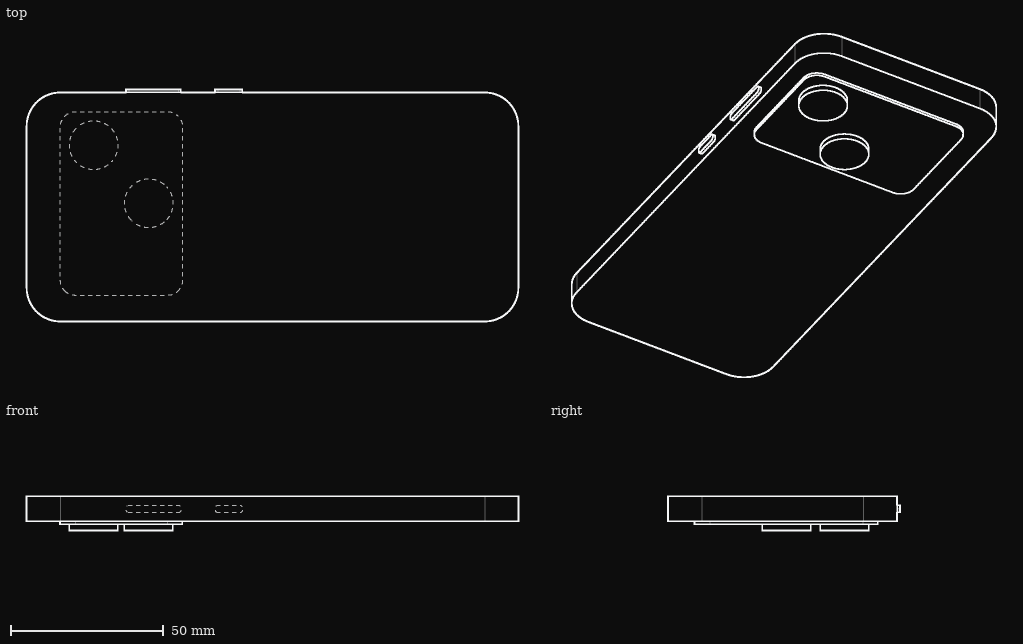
import cadquery as cq

PHONE_LENGTH = 160.9
PHONE_WIDTH = 75.0
PHONE_THICKNESS = 8.2
PHONE_CORNER_RADIUS = 11.1

ISLAND_LENGTH = 40.0
ISLAND_WIDTH = 60.0
ISLAND_HEIGHT = 1.0
ISLAND_CORNER_RADIUS = 5.0
ISLAND_END_INSET = 11.0
ISLAND_SIDE_INSET = 6.3

CAMERA_PROTRUSION = 3.0
LENS_HEIGHT = CAMERA_PROTRUSION - ISLAND_HEIGHT
LENS_DIAMETER = 16.0
LENS_EDGE_INSET = 11.0
LENS_PITCH_X = 18.0
LENS_PITCH_Y = 19.0

BUTTON_HEIGHT = 2.4
BUTTON_PROTRUSION = 1.0
BUTTON_CORNER_RADIUS = 1.0
LONG_BUTTON_LENGTH = 18.0
LONG_BUTTON_START = 32.5
SHORT_BUTTON_LENGTH = 9.0
SHORT_BUTTON_START = 61.6

END_X = -PHONE_LENGTH / 2
SIDE_Y = PHONE_WIDTH / 2

ISLAND_END_X = END_X + ISLAND_END_INSET
ISLAND_SIDE_Y = SIDE_Y - ISLAND_SIDE_INSET

LENS_NEAR_X = ISLAND_END_X + LENS_EDGE_INSET
LENS_FAR_X = LENS_NEAR_X + LENS_PITCH_X
LENS_NEAR_Y = ISLAND_SIDE_Y - LENS_EDGE_INSET
LENS_FAR_Y = LENS_NEAR_Y - LENS_PITCH_Y
LENS_CENTERS = [(LENS_NEAR_X, LENS_NEAR_Y), (LENS_FAR_X, LENS_FAR_Y)]

BUTTONS = [
    (LONG_BUTTON_LENGTH, LONG_BUTTON_START),
    (SHORT_BUTTON_LENGTH, SHORT_BUTTON_START),
]


def rounded_plate(length, width, height, corner_radius):
    """Plate standing on Z = 0 with rounded vertical corners."""
    plate = cq.Workplane("XY").rect(length, width).extrude(height)
    return plate.edges("|Z").fillet(corner_radius)


def make_phone():
    """Slab and camera island as one body."""
    slab = rounded_plate(PHONE_LENGTH, PHONE_WIDTH, PHONE_THICKNESS, PHONE_CORNER_RADIUS)
    island = rounded_plate(ISLAND_LENGTH, ISLAND_WIDTH, ISLAND_HEIGHT, ISLAND_CORNER_RADIUS)
    island_center_x = ISLAND_END_X + ISLAND_LENGTH / 2
    island_center_y = ISLAND_SIDE_Y - ISLAND_WIDTH / 2
    return slab.union(island.translate((island_center_x, island_center_y, -ISLAND_HEIGHT)))


def make_lens(center_x, center_y):
    """Lens disc under the face of the island."""
    lens = cq.Workplane("XY").circle(LENS_DIAMETER / 2).extrude(LENS_HEIGHT)
    return lens.translate((center_x, center_y, -CAMERA_PROTRUSION))


def make_button(length, start):
    """Rounded button standing on the +Y wall at mid thickness."""
    button = cq.Workplane("XZ").rect(length, BUTTON_HEIGHT).extrude(-BUTTON_PROTRUSION)
    button = button.edges("|Y").fillet(BUTTON_CORNER_RADIUS)
    return button.translate((END_X + start + length / 2, SIDE_Y, PHONE_THICKNESS / 2))


phone = make_phone()
lenses = [make_lens(x, y) for x, y in LENS_CENTERS]
buttons = [make_button(length, start) for length, start in BUTTONS]

bodies = [phone, *lenses, *buttons]
result = cq.Compound.makeCompound([body.val() for body in bodies])